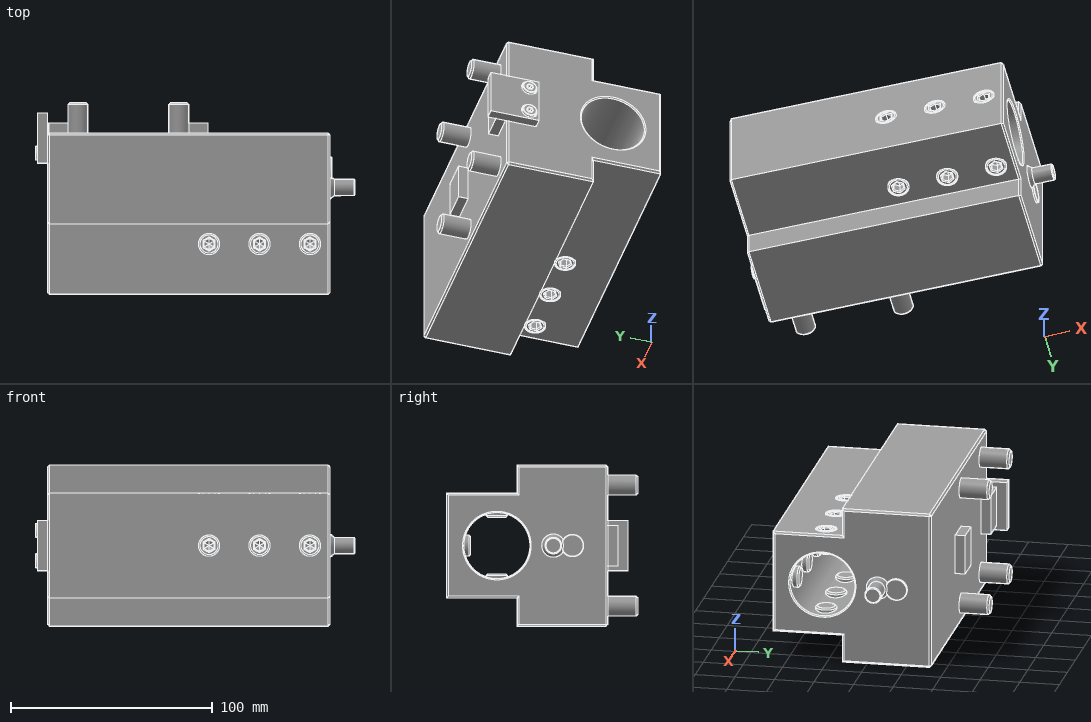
import cadquery as cq
import math


BODY_LENGTH = 140.0
BACK_HEIGHT = 80.0
BACK_DEPTH = 45.0
FRONT_HEIGHT = 52.0
FRONT_DEPTH = 35.0
EDGE_CHAMFER = 1.0

BORE_DIAMETER = 32.8
BORE_CHAMFER = 0.6
BORE_TO_FRONT = 25.0

FRONT_Y = -BORE_TO_FRONT
STEP_Y = FRONT_Y + FRONT_DEPTH
BACK_Y = STEP_Y + BACK_DEPTH

SCREW_DIAMETER = 10.5
SCREW_LENGTH = 12.0
SCREW_CHAMFER = 0.8
SCREW_HEX = 5.0
SCREW_HEX_CHAMFER = 0.55
SCREW_HEX_DEPTH = 5.0
SCREW_X = (80.0, 105.0, 130.0)

PIN_DIAMETER = 10.0
PIN_PROUD = 15.0
PIN_CHAMFER = 1.0
PIN_X = (15.0, 65.0)
PIN_Z = 30.0
PIN_EMBED = 2.0

KEY_LENGTH = 14.5
KEY_SPAN = (0.5, 79.5)
KEY_PROUD = 5.0
KEY_WIDTH = 20.0
KEY_EMBED = 2.0

PLATE_THICKNESS = 5.0
PLATE_WIDTH = 25.0
PLATE_PROUD = 10.0
PLATE_OVERLAP = 15.0
CAP_DIAMETER = 7.0
CAP_PROUD = 1.0
CAP_EDGE_CHAMFER = 0.25
CAP_RECESS_DIAMETER = 8.0
CAP_RECESS_DEPTH = 3.0
CAP_HEX = 2.5
CAP_HEX_CHAMFER = 0.3
CAP_HEX_DEPTH = 2.0
CAP_FROM_BACK = 10.0
CAP_Z = 7.5

SPIGOT_DIAMETER = 8.2
SPIGOT_ROOT_DIAMETER = 11.5
SPIGOT_ROOT_LENGTH = 2.1
SPIGOT_LENGTH = 12.34
SPIGOT_CHAMFER = 0.5
SPIGOT_FROM_BACK = 27.0
PLUG_DIAMETER = 11.0
PLUG_PROUD = 1.0
PLUG_CHAMFER = 0.2
PLUG_FROM_BACK = 17.5

SOCKET_POINT_HALF_ANGLE = math.radians(60)
SOCKET_TIP_FLATS = 0.3


def make_body():
    back = cq.Workplane("XY").box(
        BODY_LENGTH, BACK_DEPTH, BACK_HEIGHT, centered=(False, False, True)
    ).translate((0, STEP_Y, 0))
    front = cq.Workplane("XY").box(
        BODY_LENGTH, FRONT_DEPTH, FRONT_HEIGHT, centered=(False, False, True)
    ).translate((0, FRONT_Y, 0))
    body = back.union(front)
    body = body.faces("<X or >X or >Y").edges().chamfer(EDGE_CHAMFER)
    body = body.cut(cq.Workplane("YZ").circle(BORE_DIAMETER / 2).extrude(BODY_LENGTH))
    mouths = body.edges("%CIRCLE")
    return mouths.chamfer(BORE_CHAMFER)


def hex_frustum(top_flats, bottom_flats, top_z, bottom_z):
    """Six-sided frustum with corners on the Y axis, sized across flats."""
    corner_angle = math.radians(60)
    rings = []
    for flats, z in ((top_flats, top_z), (bottom_flats, bottom_z)):
        radius = flats / math.sqrt(3)
        corners = [
            cq.Vector(radius * math.sin(i * corner_angle), radius * math.cos(i * corner_angle), z)
            for i in range(6)
        ]
        rings.append(cq.Wire.makePolygon(corners, close=True))
    return cq.Workplane(cq.Solid.makeLoft(rings, True))


def hex_socket(across_flats, depth, entry_chamfer):
    """Hexagonal pocket going down from Z = 0, with a chamfered mouth and a pointed bottom."""
    mouth_flats = across_flats + 2 * entry_chamfer
    point_depth = (across_flats - SOCKET_TIP_FLATS) / 2 / math.tan(SOCKET_POINT_HALF_ANGLE)
    mouth = hex_frustum(mouth_flats, across_flats, 0, -entry_chamfer)
    prism = hex_frustum(across_flats, across_flats, 0, -depth)
    point = hex_frustum(across_flats, SOCKET_TIP_FLATS, -depth, -depth - point_depth)
    return mouth.union(prism).union(point)


def place_set_screws(body, outer_distance, turn):
    """Fit a row of screws, flush with the face at outer_distance, turned about the bore axis."""
    hole = cq.Workplane("XY").circle(SCREW_DIAMETER / 2).extrude(outer_distance)
    screw = (
        cq.Workplane("XY").circle(SCREW_DIAMETER / 2).extrude(-SCREW_LENGTH)
        .edges("%CIRCLE").chamfer(SCREW_CHAMFER)
        .cut(hex_socket(SCREW_HEX, SCREW_HEX_DEPTH, SCREW_HEX_CHAMFER))
        .translate((0, 0, outer_distance))
    )
    for x in SCREW_X:
        body = body.cut(hole.rotate((0, 0, 0), (1, 0, 0), turn).translate((x, 0, 0)))
        body = body.union(screw.rotate((0, 0, 0), (1, 0, 0), turn).translate((x, 0, 0)))
    return body


def make_pins():
    pins = cq.Workplane("XY")
    for x in PIN_X:
        for z in (-PIN_Z, PIN_Z):
            pin = (
                cq.Workplane("XZ").circle(PIN_DIAMETER / 2).extrude(-(PIN_PROUD + PIN_EMBED))
                .faces(">Y").chamfer(PIN_CHAMFER)
                .translate((x, BACK_Y - PIN_EMBED, z))
            )
            pins = pins.add(pin)
    return pins.combine()


def make_keys():
    first_end, last_end = KEY_SPAN
    keys = cq.Workplane("XY")
    for start in (first_end, last_end - KEY_LENGTH):
        key = cq.Workplane("XY").box(
            KEY_LENGTH, KEY_PROUD + KEY_EMBED, KEY_WIDTH, centered=(False, False, True)
        )
        keys = keys.add(key.translate((start, BACK_Y - KEY_EMBED, 0)))
    return keys.combine()


def make_stop_plate():
    plate = cq.Workplane("XY").box(
        PLATE_THICKNESS, PLATE_PROUD + PLATE_OVERLAP, PLATE_WIDTH, centered=(False, False, True)
    ).translate((-PLATE_THICKNESS, BACK_Y - PLATE_OVERLAP, 0))
    recess = cq.Workplane("XY").circle(CAP_RECESS_DIAMETER / 2).extrude(-CAP_RECESS_DEPTH)
    cap = (
        cq.Workplane("XY").circle(CAP_DIAMETER / 2).extrude(-(CAP_RECESS_DEPTH + CAP_PROUD))
        .faces(">Z").chamfer(CAP_EDGE_CHAMFER)
        .cut(hex_socket(CAP_HEX, CAP_HEX_DEPTH, CAP_HEX_CHAMFER))
        .translate((0, 0, CAP_PROUD))
    )
    for z in (-CAP_Z, CAP_Z):
        seat = (-PLATE_THICKNESS, BACK_Y - CAP_FROM_BACK, z)
        plate = plate.cut(recess.rotate((0, 0, 0), (0, 1, 0), -90).translate(seat))
        plate = plate.union(cap.rotate((0, 0, 0), (0, 1, 0), -90).translate(seat))
    return plate


def make_spigot():
    root = cq.Solid.makeCone(
        SPIGOT_ROOT_DIAMETER / 2, SPIGOT_DIAMETER / 2, SPIGOT_ROOT_LENGTH, dir=cq.Vector(1, 0, 0)
    )
    shaft = (
        cq.Workplane("YZ").circle(SPIGOT_DIAMETER / 2).extrude(SPIGOT_LENGTH)
        .faces(">X").chamfer(SPIGOT_CHAMFER)
    )
    return shaft.union(cq.Workplane(root)).translate((BODY_LENGTH, BACK_Y - SPIGOT_FROM_BACK, 0))


def make_plug():
    plug = cq.Workplane("YZ").circle(PLUG_DIAMETER / 2).extrude(PLUG_PROUD)
    plug = plug.faces(">X").chamfer(PLUG_CHAMFER)
    return plug.translate((BODY_LENGTH, BACK_Y - PLUG_FROM_BACK, 0))


result = make_body()
result = place_set_screws(result, FRONT_HEIGHT / 2, 0)
result = place_set_screws(result, BORE_TO_FRONT, 90)
result = place_set_screws(result, FRONT_HEIGHT / 2, 180)
for attachment in (make_pins(), make_keys(), make_stop_plate(), make_spigot(), make_plug()):
    result = result.union(attachment)